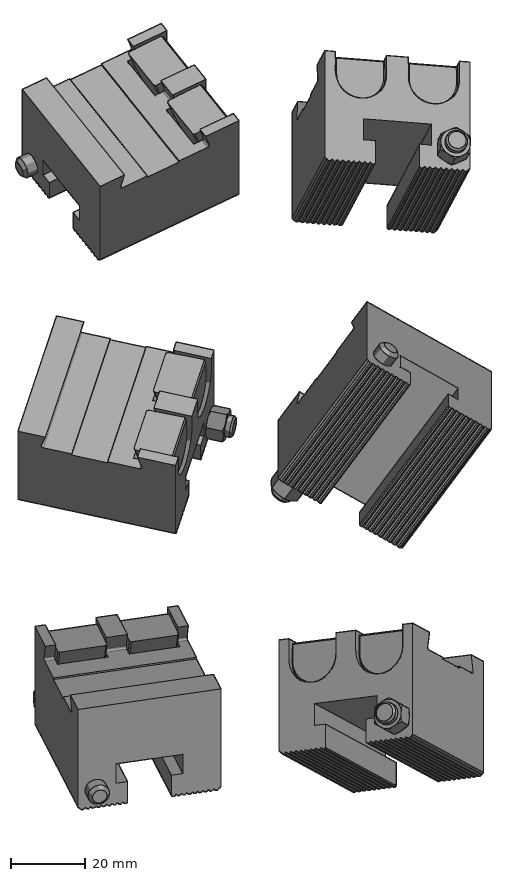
import cadquery as cq
import math

WIDTH = 40.0
DEPTH = 44.0
HEIGHT = 32.0

DOVETAIL_ANGLE = 15.0
FRONT_RAIL = 7.7
BACK_RAIL = 10.6
SEAT_DEPTH = 5.0
SEAT_FILLET = 0.55
RELIEF_START = 15.0
RELIEF_WIDTH = 10.0
RELIEF_DEPTH = 0.5

SLOT_WIDTH = 18.6
SLOT_TOP = 13.0
MOUTH_WIDTH = 12.2
MOUTH_TOP = 6.9

TEETH_PER_SIDE = 9
OUTER_TOOTH_X = 18.7
INNER_TOOTH_X = 6.7
TOOTH_PITCH = (OUTER_TOOTH_X - INNER_TOOTH_X) / (TEETH_PER_SIDE - 1)
TOOTH_DEPTH = 0.5
CORNER_CHAMFER = 1.0

STUD_DIAMETER = 6.0
STUD_X = 5.0 - WIDTH / 2
STUD_Z = 6.0
STUD_FRONT = 4.0
STUD_BACK = 7.0
STUD_FRONT_CHAMFER = 1.0
STUD_BACK_CHAMFER_LENGTH = 0.6
STUD_BACK_CHAMFER_DEPTH = 0.55
HEX_FLATS = 8.05
HEX_LENGTH = 5.0
HEX_CORNER_UP = 30.0
HEX_TURN = 2.5
HEX_BEVEL_LENGTH = 0.35
HEX_BEVEL_ANGLE = 30.0

JAW_SPACING = 20.0
CHANNEL_WIDTH = 14.1
JAW_WIDTH = 13.75
CHANNEL_TILT = 16.8
CHANNEL_DROP = 4.4
JAW_PITCH = CHANNEL_TILT - DOVETAIL_ANGLE
JAW_FRONT_Y = DEPTH - 12.55
JAW_BACK_Y = DEPTH - 1.45
JAW_DROP = 1.25
JAW_CHAMFER = 0.45

SEAT_Z = HEIGHT - SEAT_DEPTH
JAW_FRONT_Z = HEIGHT - JAW_DROP
AXIS_Z = SEAT_Z - CHANNEL_DROP
CHANNEL_LENGTH = 2 * (DEPTH - JAW_FRONT_Y)
CHANNEL_HEIGHT = HEIGHT


def along_x(points):
    """Prism across the whole width from a (Y, Z) outline."""
    return cq.Workplane("YZ").polyline(points).close().extrude(WIDTH / 2, both=True)


def centred_slot(width, top):
    """Rectangular slot through the housing along Y, open at the bottom."""
    return cq.Workplane("XY").box(width, DEPTH, top, centered=(True, False, False))


def dovetail_seat():
    """Undercut seat between the two rails, with rounded lower corners."""
    undercut = SEAT_DEPTH * math.tan(math.radians(DOVETAIL_ANGLE))
    back_edge = DEPTH - BACK_RAIL
    seat = along_x([
        (FRONT_RAIL, HEIGHT),
        (FRONT_RAIL - undercut, SEAT_Z),
        (back_edge + undercut, SEAT_Z),
        (back_edge, HEIGHT),
    ])
    return seat.edges("|X and <Z").fillet(SEAT_FILLET)


def relief_groove():
    """Shallow groove in the seat floor."""
    return cq.Workplane("XY").box(
        WIDTH, RELIEF_WIDTH, RELIEF_DEPTH, centered=(True, False, False)
    ).translate((0, RELIEF_START, SEAT_Z - RELIEF_DEPTH))


def tooth_grooves():
    """45 degree V grooves that leave the teeth on the underside."""
    outer_groove_x = OUTER_TOOTH_X + TOOTH_PITCH / 2
    centres = [
        (side * (outer_groove_x - i * TOOTH_PITCH), 0)
        for side in (-1, 1)
        for i in range(TEETH_PER_SIDE + 1)
    ]
    side_length = 2 * TOOTH_DEPTH / math.sqrt(2)
    diamonds = cq.Sketch().push(centres).rect(side_length, side_length, angle=45)
    return cq.Workplane("XZ").placeSketch(diamonds).extrude(-DEPTH)


def stud():
    """Plain stud along Y with a chamfer at each end."""
    radius = STUD_DIAMETER / 2
    tip = -STUD_FRONT
    end = DEPTH + STUD_BACK
    half_section = [
        (0, tip),
        (radius - STUD_FRONT_CHAMFER, tip),
        (radius, tip + STUD_FRONT_CHAMFER),
        (radius, end - STUD_BACK_CHAMFER_LENGTH),
        (radius - STUD_BACK_CHAMFER_DEPTH, end),
        (0, end),
    ]
    turned = cq.Workplane("XY").polyline(half_section).close().revolve(360, (0, 0, 0), (0, 1, 0))
    return turned.translate((STUD_X, 0, STUD_Z))


def hexagon():
    """Hexagon on the back face, its corners bevelled at both ends."""
    corner_radius = HEX_FLATS / math.sqrt(3)
    end_radius = corner_radius - HEX_BEVEL_LENGTH / math.tan(math.radians(HEX_BEVEL_ANGLE))
    prism = (
        cq.Workplane("XZ").polygon(6, 2 * corner_radius).extrude(-HEX_LENGTH)
        .rotate((0, 0, 0), (0, 1, 0), HEX_CORNER_UP - HEX_TURN)
    )
    half_section = [
        (0, 0),
        (end_radius, 0),
        (corner_radius, HEX_BEVEL_LENGTH),
        (corner_radius, HEX_LENGTH - HEX_BEVEL_LENGTH),
        (end_radius, HEX_LENGTH),
        (0, HEX_LENGTH),
    ]
    envelope = cq.Workplane("XY").polyline(half_section).close().revolve(360, (0, 0, 0), (0, 1, 0))
    return prism.intersect(envelope).translate((STUD_X, DEPTH, STUD_Z))


def tilted_channel(x, width, front_z):
    """Round-bottomed bar whose square front end passes below the jaw front edge at height front_z."""
    tilt = math.radians(CHANNEL_TILT)
    start = (front_z - AXIS_Z) * math.sin(tilt)
    plane = cq.Plane(
        origin=(x, JAW_FRONT_Y, AXIS_Z),
        xDir=(-1, 0, 0),
        normal=(0, math.cos(tilt), math.sin(tilt)),
    )
    radius = width / 2
    return (
        cq.Workplane(plane).workplane(offset=start)
        .moveTo(-radius, CHANNEL_HEIGHT)
        .lineTo(-radius, 0)
        .threePointArc((0, -radius), (radius, 0))
        .lineTo(radius, CHANNEL_HEIGHT)
        .close()
        .extrude(CHANNEL_LENGTH)
    )


def make_housing(channel_centres):
    """Block with its seat, T-slot, teeth and jaw channels, together with the stud and hexagon."""
    body = cq.Workplane("XY").box(WIDTH, DEPTH, HEIGHT, centered=(True, False, False))
    body = body.edges("|Y and <Z").chamfer(CORNER_CHAMFER)
    body = body.cut(dovetail_seat()).cut(relief_groove())
    body = body.cut(centred_slot(SLOT_WIDTH, SLOT_TOP).cut(centred_slot(SLOT_WIDTH, MOUTH_TOP)))
    body = body.cut(centred_slot(MOUTH_WIDTH, MOUTH_TOP))
    body = body.cut(tooth_grooves())
    for x in channel_centres:
        body = body.cut(tilted_channel(x, CHANNEL_WIDTH, SEAT_Z))
    return body.union(stud()).union(hexagon())


def make_jaw(x):
    """Jaw whose front face is square to the channel; its top and back are turned by the pitch."""
    bar = tilted_channel(x, JAW_WIDTH, JAW_FRONT_Z).faces("<Y").edges().chamfer(JAW_CHAMFER)
    length = (JAW_BACK_Y - JAW_FRONT_Y) / math.cos(math.radians(JAW_PITCH))
    below_top = (
        cq.Workplane("XY")
        .box(WIDTH, 2 * length, HEIGHT, centered=(True, True, False))
        .translate((0, 0, -HEIGHT))
        .rotate((0, 0, 0), (1, 0, 0), JAW_PITCH)
        .translate((x, JAW_FRONT_Y, JAW_FRONT_Z))
    )
    return bar.intersect(below_top).faces(">Y").edges().chamfer(JAW_CHAMFER)


jaw_centres = [-JAW_SPACING / 2, JAW_SPACING / 2]
housing = make_housing(jaw_centres)
jaws = [make_jaw(x) for x in jaw_centres]

result = cq.Compound.makeCompound([housing.val(), *[jaw.val() for jaw in jaws]])